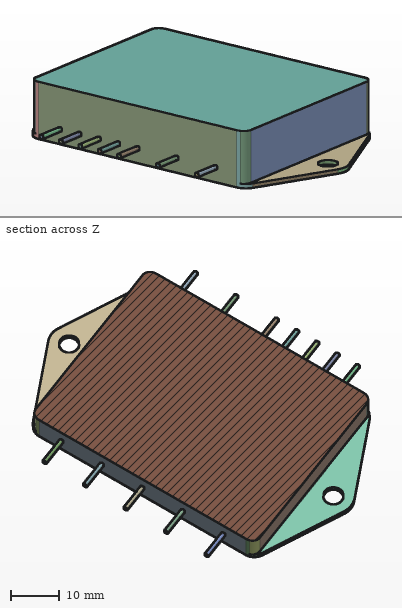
import cadquery as cq
import math

length = 75.15
height = 12.57
pin_span = 56.13
pin_reach = 6.35
depth = pin_span - 2 * pin_reach

flange_thickness = 1.0
hole_offset = 33.15
hole_diameter = 4.2
nose_radius = length / 2 - hole_offset
corner_radius = 3.15
corner_x = 25.9
corner_y = depth / 2 - corner_radius

body_length = 56.3
body_edge_radius = 1.9

pin_diameter = 1.02
pin_z = 3.3
pin_pitch = 5.08
front_pin_steps = (-4, -3, -2, -1, 0, 2, 4)
back_pin_steps = (-4, -2, 0, 2, 4)
pin_embed = 1.0


def flange_outline():
    """Convex outline wrapped around the two ear noses and the four corner arcs."""
    run_x = hole_offset - corner_x
    center_gap = math.hypot(run_x, corner_y)
    edge_normal = math.atan2(run_x, corner_y) + math.asin((nose_radius - corner_radius) / center_gap)
    mid_corner = (edge_normal + math.pi / 2) / 2

    nose_x = hole_offset + nose_radius * math.cos(edge_normal)
    nose_y = nose_radius * math.sin(edge_normal)
    tangent_x = corner_x + corner_radius * math.cos(edge_normal)
    tangent_y = corner_y + corner_radius * math.sin(edge_normal)
    mid_x = corner_x + corner_radius * math.cos(mid_corner)
    mid_y = corner_y + corner_radius * math.sin(mid_corner)

    return (
        cq.Workplane("XY")
        .moveTo(-corner_x, depth / 2)
        .lineTo(corner_x, depth / 2)
        .threePointArc((mid_x, mid_y), (tangent_x, tangent_y))
        .lineTo(nose_x, nose_y)
        .threePointArc((length / 2, 0), (nose_x, -nose_y))
        .lineTo(tangent_x, -tangent_y)
        .threePointArc((mid_x, -mid_y), (corner_x, -depth / 2))
        .lineTo(-corner_x, -depth / 2)
        .threePointArc((-mid_x, -mid_y), (-tangent_x, -tangent_y))
        .lineTo(-nose_x, -nose_y)
        .threePointArc((-length / 2, 0), (-nose_x, nose_y))
        .lineTo(-tangent_x, tangent_y)
        .threePointArc((-mid_x, mid_y), (-corner_x, depth / 2))
        .close()
    )


def make_flange():
    return (
        flange_outline()
        .pushPoints([(-hole_offset, 0), (hole_offset, 0)])
        .circle(hole_diameter / 2)
        .extrude(flange_thickness)
    )


def make_body():
    end_cut = cq.Workplane("XY").box(body_length, depth, height, centered=(True, True, False))
    block = flange_outline().extrude(height).intersect(end_cut)
    end_edges = block.faces("<X or >X").edges("|Z")
    return end_edges.fillet(body_edge_radius)


def make_pin_row(steps, side):
    """Row of pins leaving the body on side -1 (-Y) or +1 (+Y)."""
    pin_length = pin_reach + pin_embed
    start_y = depth / 2 - pin_embed if side > 0 else -pin_span / 2
    centers = [(step * pin_pitch, pin_z) for step in steps]
    return (
        cq.Workplane("XZ", origin=(0, start_y, 0))
        .pushPoints(centers)
        .circle(pin_diameter / 2)
        .extrude(-pin_length)
    )


result = (
    make_flange()
    .union(make_body())
    .union(make_pin_row(front_pin_steps, -1))
    .union(make_pin_row(back_pin_steps, 1))
)